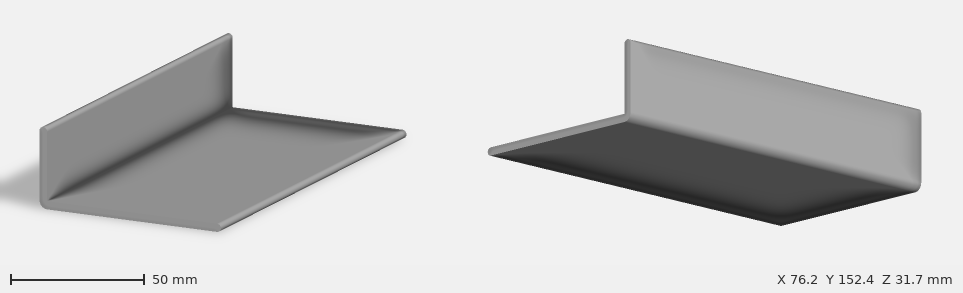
import cadquery as cq

width = 76.2
length = 152.4
height = 31.7

thickness = 3.2
tip_radius = thickness / 2
bend_radius = thickness

section = (
    cq.Workplane("XZ")
    .lineTo(width - tip_radius, 0)
    .threePointArc((width, tip_radius), (width - tip_radius, thickness))
    .lineTo(thickness, thickness)
    .lineTo(thickness, height - tip_radius)
    .threePointArc((tip_radius, height), (0, height - tip_radius))
    .close()
)

angle = section.extrude(length / 2, both=True)

outer_corner = cq.selectors.NearestToPointSelector((0, 0, 0))
result = angle.edges("|Y").edges(outer_corner).fillet(bend_radius)